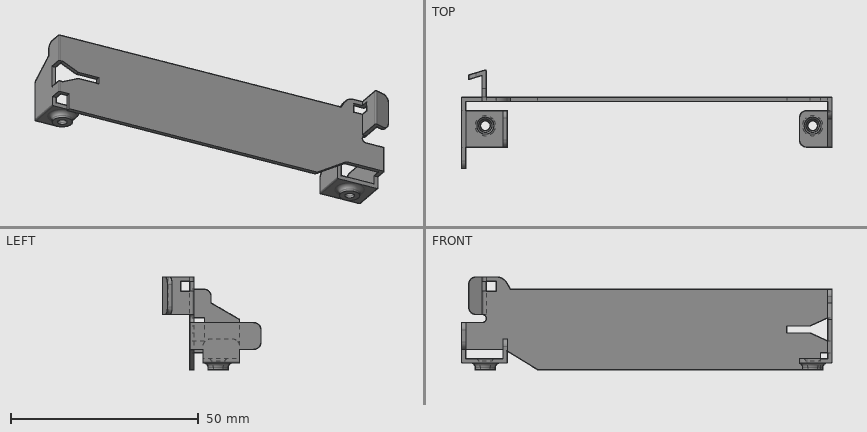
import cadquery as cq
import math


SHEET = 1.2
LENGTH = 98.8
PLATE_TOP = 21.5
HOOK_TOP = 24.75
HOOK_BACK = 7.25
TOTAL_DEPTH = 26.3
FLANGE_FRONT = HOOK_BACK - TOTAL_DEPTH
CORNER_RADIUS = 2.0
BEND_RADIUS = 0.3

LEFT_TOP = 12.6
LEFT_BOTTOM = 5.4
RAMP_ANGLE = math.radians(31.4)
RAMP_END_X = 20.35
HUMP_END_X = 13.1
HUMP_RADIUS = 3.2
HUMP_ANGLE = math.radians(60)

HOOK_X = 5.45
HOOK_BOTTOM = 14.7
HOOK_TIP_X = 1.95
HOOK_TILT = math.radians(17)
RELIEF_X = 5.6
RELIEF_RADIUS = (HOOK_BOTTOM - LEFT_TOP) / 2
WINDOW_BOTTOM = 20.95
WINDOW_TOP = 23.55
WINDOW_RIGHT = 9.25
WINDOW_BACK = 2.3

FOOT_BOTTOM = 1.8
FOOT_TOP = FOOT_BOTTOM + SHEET
FOOT_BACK = -3.55
FOOT_FRONT = -13.35
LEFT_FOOT_WIDTH = 12.3
LEFT_TAB_TOP = 8.2
RIGHT_FOOT_X = 90.05

LEFT_BOSS_X = 6.4
RIGHT_BOSS_X = 93.6
BOSS_Y = -7.6
BOSS_RADIUS = 5.4 / 2
BOSS_FLARE = SHEET
BORE_RADIUS = 2.54 / 2
SINK_RADIUS = 4.54 / 2
SINK_STEP_RADIUS = 3.54 / 2
SINK_STEP_DEPTH = 0.6

SHOULDER_FRONT = -5.75
SHOULDER_BOTTOM = 17.8
SLOPE_BOTTOM = 13.4
NOTCH_TOP = 4.5
NOTCH_LEFT = 95.7

SLOT_Z = 10.75
SLOT_LEFT = 86.7
SLOT_WIDTH = 1.8
TAPER_LEFT = 92.9
SLOT_MOUTH = 6.1
SLOT_FRONT = -3.95


def plate_along_x(outline_xz):
    """Sheet lying in the main plate, from an outline in X and Z."""
    return cq.Workplane("XZ").polyline(outline_xz).close().extrude(SHEET)


def plate_across_x(x, outline_yz):
    """Sheet standing across the length, from an outline in Y and Z."""
    return cq.Workplane("YZ", origin=(x, 0, 0)).polyline(outline_yz).close().extrude(SHEET)


def box(x, y, z):
    """Box spanning three (low, high) ranges."""
    size = (x[1] - x[0], y[1] - y[0], z[1] - z[0])
    return cq.Workplane("XY", origin=(x[0], y[0], z[0])).box(*size, centered=False)


def round_edge(body, direction, point, radius):
    """Round the edge that runs along `direction` and lies nearest to `point`."""
    return body.edges(cq.selectors.ParallelDirSelector(direction)).edges(
        cq.selectors.NearestToPointSelector(point)
    ).fillet(radius)


def main_plate():
    ramp_start_x = RAMP_END_X - LEFT_BOTTOM / math.tan(RAMP_ANGLE)
    hump_corner_x = HUMP_END_X - (HOOK_TOP - PLATE_TOP) / math.tan(HUMP_ANGLE)
    plate = plate_along_x([
        (0, LEFT_BOTTOM),
        (ramp_start_x, LEFT_BOTTOM),
        (RAMP_END_X, 0),
        (NOTCH_LEFT, 0),
        (NOTCH_LEFT, NOTCH_TOP),
        (LENGTH, NOTCH_TOP),
        (LENGTH, PLATE_TOP),
        (HUMP_END_X, PLATE_TOP),
        (hump_corner_x, HOOK_TOP),
        (HOOK_X, HOOK_TOP),
        (HOOK_X, LEFT_TOP),
        (0, LEFT_TOP),
    ])
    middle_y = -SHEET / 2
    plate = round_edge(plate, cq.Vector(0, 1, 0), (ramp_start_x, middle_y, LEFT_BOTTOM), CORNER_RADIUS)
    plate = round_edge(plate, cq.Vector(0, 1, 0), (hump_corner_x, middle_y, HOOK_TOP), HUMP_RADIUS)
    relief_z = LEFT_TOP + RELIEF_RADIUS
    relief = (
        cq.Workplane("XZ")
        .moveTo(HOOK_X, LEFT_TOP)
        .lineTo(RELIEF_X, LEFT_TOP)
        .threePointArc((RELIEF_X + RELIEF_RADIUS, relief_z), (RELIEF_X, HOOK_BOTTOM))
        .lineTo(HOOK_X, HOOK_BOTTOM)
        .close()
        .extrude(SHEET)
    )
    return plate.cut(relief)


def hook():
    outer_x = HOOK_X + SHEET
    slope = math.tan(HOOK_TILT)
    corner_y = HOOK_BACK + BEND_RADIUS * ((1 + math.sin(HOOK_TILT)) / math.cos(HOOK_TILT) - 1)
    tip_y = corner_y - (outer_x - HOOK_TIP_X) * slope
    inner_tip_y = tip_y - SHEET / math.cos(HOOK_TILT)
    inner_corner_y = inner_tip_y + (HOOK_X - HOOK_TIP_X) * slope
    body = (
        cq.Workplane("XY", origin=(0, 0, HOOK_BOTTOM))
        .polyline([
            (outer_x, -SHEET),
            (outer_x, corner_y),
            (HOOK_TIP_X, tip_y),
            (HOOK_TIP_X, inner_tip_y),
            (HOOK_X, inner_corner_y),
            (HOOK_X, -SHEET),
        ])
        .close()
        .extrude(HOOK_TOP - HOOK_BOTTOM)
    )
    middle_z = (HOOK_TOP + HOOK_BOTTOM) / 2
    body = round_edge(body, cq.Vector(0, 0, 1), (outer_x, corner_y, middle_z), BEND_RADIUS)
    return body.edges("|Y and <X").fillet(CORNER_RADIUS)


def hook_window():
    return box((HOOK_X, WINDOW_RIGHT), (-SHEET, WINDOW_BACK), (WINDOW_BOTTOM, WINDOW_TOP))


def left_flange():
    flange = plate_across_x(0, [
        (0, LEFT_TOP),
        (FLANGE_FRONT, LEFT_TOP),
        (FLANGE_FRONT, LEFT_BOTTOM),
        (FOOT_FRONT, LEFT_BOTTOM),
        (FOOT_FRONT, FOOT_BOTTOM),
        (FOOT_BACK, FOOT_BOTTOM),
        (FOOT_BACK, LEFT_BOTTOM),
        (0, LEFT_BOTTOM),
    ])
    return flange.edges("|X and <Y").fillet(CORNER_RADIUS)


def left_foot():
    foot = box((0, LEFT_FOOT_WIDTH), (FOOT_FRONT, FOOT_BACK), (FOOT_BOTTOM, FOOT_TOP))
    tab = box((LEFT_FOOT_WIDTH - SHEET, LEFT_FOOT_WIDTH), (FOOT_FRONT, FOOT_BACK), (FOOT_BOTTOM, LEFT_TAB_TOP))
    return foot.union(tab.edges("|X and >Z").fillet(CORNER_RADIUS))


def right_flange():
    flange = plate_across_x(LENGTH - SHEET, [
        (0, PLATE_TOP),
        (SHOULDER_FRONT, PLATE_TOP),
        (SHOULDER_FRONT, SHOULDER_BOTTOM),
        (FOOT_FRONT, SLOPE_BOTTOM),
        (FOOT_FRONT, FOOT_BOTTOM),
        (FOOT_BACK, FOOT_BOTTOM),
        (FOOT_BACK, NOTCH_TOP),
        (0, NOTCH_TOP),
    ])
    shoulder = (LENGTH - SHEET / 2, SHOULDER_FRONT, PLATE_TOP)
    return round_edge(flange, cq.Vector(1, 0, 0), shoulder, CORNER_RADIUS)


def right_foot():
    foot = box((RIGHT_FOOT_X, LENGTH), (FOOT_FRONT, FOOT_BACK), (FOOT_BOTTOM, FOOT_TOP))
    return foot.edges("|Z and <X").fillet(CORNER_RADIUS)


def round_bends(body):
    """Round the outside of the bends that join the flanges, the hook, the feet and the tab."""
    upright = cq.Vector(0, 0, 1)
    front_to_back = cq.Vector(0, 1, 0)
    foot_middle = (FOOT_FRONT + FOOT_BACK) / 2
    bends = (
        (upright, (LENGTH, 0, (PLATE_TOP + NOTCH_TOP) / 2)),
        (upright, (0, 0, (LEFT_TOP + LEFT_BOTTOM) / 2)),
        (upright, (HOOK_X, -SHEET, (HOOK_TOP + HOOK_BOTTOM) / 2)),
        (front_to_back, (LENGTH, foot_middle, FOOT_BOTTOM)),
        (front_to_back, (0, foot_middle, FOOT_BOTTOM)),
        (front_to_back, (LEFT_FOOT_WIDTH, foot_middle, FOOT_BOTTOM)),
    )
    for direction, point in bends:
        body = round_edge(body, direction, point, BEND_RADIUS)
    return body


def tapered_slot():
    half_width = SLOT_WIDTH / 2
    half_mouth = SLOT_MOUTH / 2
    inner_x = LENGTH - SHEET
    in_plate = plate_along_x([
        (SLOT_LEFT, SLOT_Z - half_width),
        (TAPER_LEFT, SLOT_Z - half_width),
        (inner_x, SLOT_Z - half_mouth),
        (inner_x, SLOT_Z + half_mouth),
        (TAPER_LEFT, SLOT_Z + half_width),
        (SLOT_LEFT, SLOT_Z + half_width),
    ])
    in_flange = box((inner_x, LENGTH), (SLOT_FRONT, 0), (SLOT_Z - half_mouth, SLOT_Z + half_mouth))
    return in_plate.union(in_flange)


def boss(x):
    """Round boss that flares into the underside of a foot."""
    flare_radius = BOSS_RADIUS + BOSS_FLARE
    flare_end = FOOT_BOTTOM - BOSS_FLARE
    curve = BOSS_FLARE * math.sqrt(0.5)
    curve_middle = (flare_radius - curve, flare_end + curve)
    profile = (
        cq.Workplane("XZ", origin=(x, BOSS_Y, 0))
        .lineTo(BOSS_RADIUS, 0)
        .lineTo(BOSS_RADIUS, flare_end)
        .threePointArc(curve_middle, (flare_radius, FOOT_BOTTOM))
        .lineTo(flare_radius, FOOT_TOP)
        .lineTo(0, FOOT_TOP)
        .close()
    )
    return profile.revolve(360, (0, 0), (0, 1))


def boss_bore(x):
    """Screw bore with a two-step funnel sunk from the top of a foot."""
    step_z = FOOT_TOP - SINK_STEP_DEPTH
    funnel_end = FOOT_BOTTOM - BOSS_FLARE
    profile = (
        cq.Workplane("XZ", origin=(x, BOSS_Y, 0))
        .polyline([
            (0, 0),
            (BORE_RADIUS, 0),
            (BORE_RADIUS, funnel_end),
            (SINK_STEP_RADIUS, step_z),
            (SINK_RADIUS, FOOT_TOP),
            (0, FOOT_TOP),
        ])
        .close()
    )
    return profile.revolve(360, (0, 0), (0, 1))


result = main_plate()
for sheet in (hook(), left_flange(), left_foot(), right_flange(), right_foot()):
    result = result.union(sheet)
result = round_bends(result)
result = result.cut(hook_window()).cut(tapered_slot())

right_foot_reach = box((RIGHT_FOOT_X, LENGTH), (FOOT_FRONT, FOOT_BACK), (0, FOOT_TOP))
result = result.union(boss(LEFT_BOSS_X)).union(boss(RIGHT_BOSS_X).intersect(right_foot_reach))
for boss_x in (LEFT_BOSS_X, RIGHT_BOSS_X):
    result = result.cut(boss_bore(boss_x))